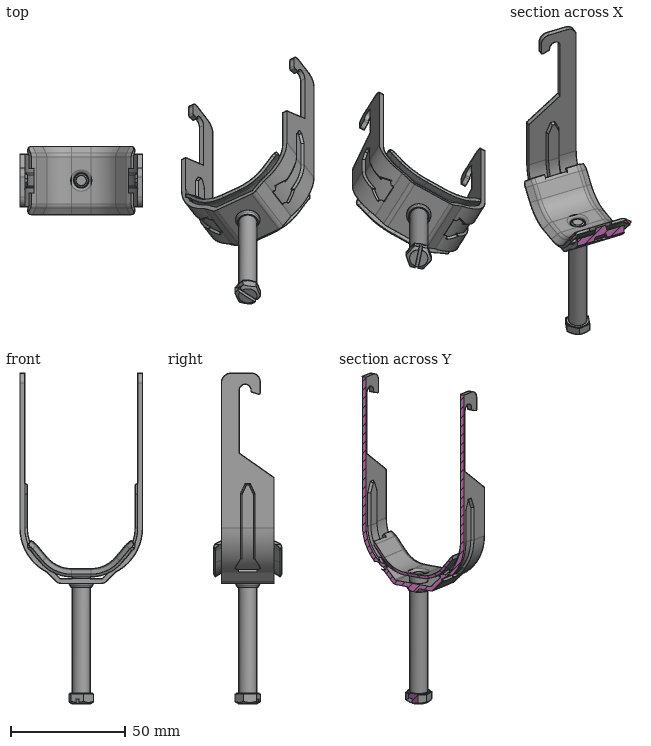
import cadquery as cq
import math

TOTAL_HEIGHT = 144.6

STRAP_SPAN = 53.6
STRAP_HALF_SPAN = STRAP_SPAN / 2
STRAP_HALF_WIDTH = 11.5
STRAP_THICKNESS = 2.2
SHOULDER_RADIUS = 21.7
SHOULDER_Z = 76.9
FLOOR_Z = 52.6
FLOOR_HALF_LENGTH = 10.1
RAMP_ANGLE = math.radians(45)
FLOOR_BEND_RADIUS = 0.9

HOOK_TIP_Y = 5.5
HOOK_TIP_Z = 135.0
HOOK_LIP_Z = 136.4
SLOT_DIAMETER = 5.0
SLOT_Y = -1.2
SLOT_TOP_Z = 139.7
HOOK_BACK_RADIUS = 4.3
HOOK_FRONT_RADIUS = 3.9
HOOK_TIP_RADIUS = 0.7
NECK_Z = 109.6
SLOPE_FOOT_Z = 98.9

RIB_HALF_WIDTH = 3.2
RIB_DEPTH = 1.2
RIB_WALL_SPREAD = 0.7
RIB_TOP_Z = 96.5
RIB_SHOULDER_Z = 91.8
RIB_TIP_HALF_WIDTH = 1.0
RIB_SWEEP = 62.0
RIB_FOOT_TOP_Z = 63.3
RIB_FOOT_WIDEST_Z = 59.3
RIB_FOOT_HALF_WIDTH = 5.6
RIB_FOOT_END_HALF_WIDTH = 4.0
RIB_FOOT_END_Z = 58.4

SHANK_DIAMETER = 8.0
HEX_ACROSS_FLATS = 10.0
HEX_TURN = 40.4
HEX_CORNER_TO_FLAT = 30.0
HEAD_HEIGHT = 4.3
WASHER_FACE_HEIGHT = 0.5
HEAD_END_DIAMETER = 8.0
HEAD_CHAMFER_HEIGHT = 1.2
DRIVE_SLOT_WIDTH = 1.5
DRIVE_SLOT_DEPTH = 2.2
TIP_DIAMETER = 6.0
TIP_END_DIAMETER = 4.5
TIP_HEIGHT = 0.7

COLLAR_TOP_DIAMETER = 10.7
COLLAR_MID_DIAMETER = 10.0
COLLAR_END_DIAMETER = 9.0
COLLAR_MID_DEPTH = 0.9
COLLAR_DEPTH = 1.7

SADDLE_TOP_Z = 59.1
SADDLE_THICKNESS = 1.5
SADDLE_WIDTH = 30.0
SADDLE_HALF_WIDTH = SADDLE_WIDTH / 2
SADDLE_FLAT_HALF_LENGTH = 4.2
SADDLE_RADIUS = 14.2
SADDLE_ANGLE = math.radians(50)
SADDLE_CREST_X = 19.5
SADDLE_END_X = 21.8
SADDLE_END_ANGLE = math.radians(40)
SADDLE_HALF_LENGTH = 23.4
SADDLE_BED_HALF_WIDTH = 10.3
FLANGE_ANGLE = math.radians(33)
FLANGE_BEND_RADIUS = 3.2
SADDLE_CORNER_RADIUS = 1.7
NOTCH_HALF_WIDTH = 5.4
NOTCH_FLOOR_X = 20.7
SADDLE_HOLE_DIAMETER = 6.7
SADDLE_HOLE_ROUNDING = 1.3


def cone_frustum(bottom_diameter, top_diameter, bottom_z, height):
    return cq.Workplane("XY").add(
        cq.Solid.makeCone(bottom_diameter / 2, top_diameter / 2, height, cq.Vector(0, 0, bottom_z))
    )


def both_sides(body):
    return body.union(body.mirror("YZ"))


SHOULDER_X = STRAP_HALF_SPAN - SHOULDER_RADIUS


def strap_envelope(inset):
    """Solid bounded by the strap's outer surface moved inward by inset."""
    radius = SHOULDER_RADIUS - inset
    floor_z = FLOOR_Z + inset
    corner_x = FLOOR_HALF_LENGTH - inset * math.tan(RAMP_ANGLE / 2)
    ramp_distance = (
        (corner_x - SHOULDER_X) * math.sin(RAMP_ANGLE) + (SHOULDER_Z - floor_z) * math.cos(RAMP_ANGLE)
    )
    meet = math.pi / 2 - RAMP_ANGLE + math.acos(ramp_distance / radius)

    def on_shoulder(angle):
        return SHOULDER_X + radius * math.cos(angle), SHOULDER_Z - radius * math.sin(angle)

    half = (
        cq.Workplane("XZ")
        .moveTo(0, TOTAL_HEIGHT)
        .lineTo(STRAP_HALF_SPAN - inset, TOTAL_HEIGHT)
        .lineTo(STRAP_HALF_SPAN - inset, SHOULDER_Z)
        .threePointArc(on_shoulder(meet / 2), on_shoulder(meet))
        .lineTo(corner_x, floor_z)
        .lineTo(0, floor_z)
        .close()
        .extrude(STRAP_HALF_WIDTH, both=True)
    )
    bend_radius = FLOOR_BEND_RADIUS + STRAP_THICKNESS - inset
    half = half.edges(cq.selectors.NearestToPointSelector((corner_x, 0, floor_z))).fillet(bend_radius)
    return both_sides(half)


def arm_outline():
    """Side outline of the strap, hook included, extruded across both arms."""
    slot_radius = SLOT_DIAMETER / 2
    slot_z = SLOT_TOP_Z - slot_radius
    stem_y = SLOT_Y - slot_radius
    lip_y = SLOT_Y + slot_radius
    outline = (
        cq.Workplane("YZ")
        .moveTo(-STRAP_HALF_WIDTH, 0)
        .lineTo(STRAP_HALF_WIDTH, 0)
        .lineTo(STRAP_HALF_WIDTH, SLOPE_FOOT_Z)
        .lineTo(stem_y, NECK_Z)
        .lineTo(stem_y, slot_z)
        .threePointArc((SLOT_Y, SLOT_TOP_Z), (lip_y, slot_z))
        .lineTo(lip_y, HOOK_LIP_Z)
        .lineTo(HOOK_TIP_Y, HOOK_TIP_Z)
        .lineTo(HOOK_TIP_Y, TOTAL_HEIGHT)
        .lineTo(-STRAP_HALF_WIDTH, TOTAL_HEIGHT)
        .close()
        .extrude(STRAP_HALF_SPAN, both=True)
    )
    rounded_corners = (
        (-STRAP_HALF_WIDTH, TOTAL_HEIGHT, HOOK_BACK_RADIUS),
        (HOOK_TIP_Y, TOTAL_HEIGHT, HOOK_FRONT_RADIUS),
        (HOOK_TIP_Y, HOOK_TIP_Z, HOOK_TIP_RADIUS),
        (lip_y, HOOK_LIP_Z, HOOK_TIP_RADIUS),
    )
    for y, z, radius in rounded_corners:
        outline = outline.edges(cq.selectors.NearestToPointSelector((0, y, z))).fillet(radius)
    return outline


def rib(inset):
    """Tapered rib that rises inward from the +X arm's surface moved inward by inset."""
    base_x = STRAP_HALF_SPAN - inset
    taper = math.degrees(math.atan(RIB_WALL_SPREAD / RIB_DEPTH))
    straight = (
        cq.Workplane("YZ", origin=(base_x, 0, 0))
        .polyline(
            [
                (-RIB_HALF_WIDTH, SHOULDER_Z - 2 * RIB_DEPTH),
                (RIB_HALF_WIDTH, SHOULDER_Z - 2 * RIB_DEPTH),
                (RIB_HALF_WIDTH, RIB_SHOULDER_Z),
                (RIB_TIP_HALF_WIDTH, RIB_TOP_Z),
                (-RIB_TIP_HALF_WIDTH, RIB_TOP_Z),
                (-RIB_HALF_WIDTH, RIB_SHOULDER_Z),
            ]
        )
        .close()
        .extrude(-RIB_DEPTH, taper=taper)
    )
    above_shoulder = cq.Workplane("XY", origin=(0, 0, SHOULDER_Z)).rect(
        2 * STRAP_HALF_SPAN, 2 * STRAP_HALF_WIDTH
    ).extrude(RIB_TOP_Z - SHOULDER_Z)
    inner_x = base_x - RIB_DEPTH
    inner_half_width = RIB_HALF_WIDTH - RIB_WALL_SPREAD
    curved = (
        cq.Workplane("XY", origin=(0, 0, SHOULDER_Z))
        .polyline(
            [
                (base_x, -RIB_HALF_WIDTH),
                (base_x, RIB_HALF_WIDTH),
                (inner_x, inner_half_width),
                (inner_x, -inner_half_width),
            ]
        )
        .close()
        .revolve(RIB_SWEEP, (SHOULDER_X, 0, 0), (SHOULDER_X, 1, 0))
    )
    return straight.intersect(above_shoulder).union(curved).union(rib_foot(inset))


def rib_foot(inset):
    """Wider lower end of the rib, ending in a wall square to the shoulder curve."""
    outer_x = STRAP_HALF_SPAN - inset
    shoulder_band = (
        cq.Workplane("XY", origin=(0, 0, SHOULDER_Z))
        .moveTo(outer_x, -RIB_FOOT_HALF_WIDTH)
        .lineTo(outer_x, RIB_FOOT_HALF_WIDTH)
        .lineTo(outer_x - RIB_DEPTH, RIB_FOOT_HALF_WIDTH)
        .lineTo(outer_x - RIB_DEPTH, -RIB_FOOT_HALF_WIDTH)
        .close()
        .revolve(RIB_SWEEP, (SHOULDER_X, 0, 0), (SHOULDER_X, 1, 0))
    )
    flare = (
        cq.Workplane("YZ")
        .polyline(
            [
                (-RIB_HALF_WIDTH, RIB_FOOT_TOP_Z),
                (RIB_HALF_WIDTH, RIB_FOOT_TOP_Z),
                (RIB_FOOT_HALF_WIDTH, RIB_FOOT_WIDEST_Z),
                (RIB_FOOT_END_HALF_WIDTH, RIB_FOOT_END_Z),
                (RIB_FOOT_END_HALF_WIDTH, FLOOR_Z),
                (-RIB_FOOT_END_HALF_WIDTH, FLOOR_Z),
                (-RIB_FOOT_END_HALF_WIDTH, RIB_FOOT_END_Z),
                (-RIB_FOOT_HALF_WIDTH, RIB_FOOT_WIDEST_Z),
            ]
        )
        .close()
        .extrude(STRAP_HALF_SPAN)
    )
    return shoulder_band.intersect(flare)


def make_collar():
    lower = cone_frustum(
        COLLAR_END_DIAMETER, COLLAR_MID_DIAMETER, FLOOR_Z - COLLAR_DEPTH, COLLAR_DEPTH - COLLAR_MID_DEPTH
    )
    upper = cone_frustum(
        COLLAR_MID_DIAMETER, COLLAR_TOP_DIAMETER, FLOOR_Z - COLLAR_MID_DEPTH, COLLAR_MID_DEPTH
    )
    return lower.union(upper)


def make_strap():
    sheet = strap_envelope(0).cut(strap_envelope(STRAP_THICKNESS)).intersect(arm_outline())
    sheet = sheet.union(both_sides(rib(STRAP_THICKNESS))).cut(both_sides(rib(0)))
    bolt_hole = cq.Workplane("XY").circle(SHANK_DIAMETER / 2).extrude(SADDLE_TOP_Z)
    return sheet.union(make_collar()).cut(bolt_hole)


def saddle_section(plane):
    """Bed with a flange turned down along each side; local x is across, local y is up."""

    def half_points(depth):
        bend_radius = FLANGE_BEND_RADIUS - depth
        bend_centre_y = -FLANGE_BEND_RADIUS
        edge_length = (
            SADDLE_HALF_WIDTH - SADDLE_BED_HALF_WIDTH - FLANGE_BEND_RADIUS * math.sin(FLANGE_ANGLE)
        ) / math.cos(FLANGE_ANGLE)
        around = [
            (
                SADDLE_BED_HALF_WIDTH + bend_radius * math.sin(angle),
                bend_centre_y + bend_radius * math.cos(angle),
            )
            for angle in (0, FLANGE_ANGLE / 2, FLANGE_ANGLE)
        ]
        flange_end = (
            around[-1][0] + edge_length * math.cos(FLANGE_ANGLE),
            around[-1][1] - edge_length * math.sin(FLANGE_ANGLE),
        )
        return around + [flange_end]

    def mirrored(point):
        return -point[0], point[1]

    top_start, top_mid, top_end, top_edge = half_points(0)
    low_start, low_mid, low_end, low_edge = half_points(SADDLE_THICKNESS)
    return (
        cq.Workplane(plane)
        .moveTo(*mirrored(top_start))
        .lineTo(*top_start)
        .threePointArc(top_mid, top_end)
        .lineTo(*top_edge)
        .lineTo(*low_edge)
        .lineTo(*low_end)
        .threePointArc(low_mid, low_start)
        .lineTo(*mirrored(low_start))
        .threePointArc(mirrored(low_mid), mirrored(low_end))
        .lineTo(*mirrored(low_edge))
        .lineTo(*mirrored(top_edge))
        .lineTo(*mirrored(top_end))
        .threePointArc(mirrored(top_mid), mirrored(top_start))
        .close()
    )


def saddle_hole():
    """Round hole whose upper rim flares out in a quarter round."""
    radius = SADDLE_HOLE_DIAMETER / 2
    round_radius = SADDLE_HOLE_ROUNDING
    rim_bottom_z = SADDLE_TOP_Z - round_radius
    on_round = (
        radius + round_radius * (1 - math.cos(math.pi / 4)),
        rim_bottom_z + round_radius * math.sin(math.pi / 4),
    )
    return (
        cq.Workplane("XZ")
        .moveTo(0, SADDLE_TOP_Z - SADDLE_THICKNESS)
        .lineTo(radius, SADDLE_TOP_Z - SADDLE_THICKNESS)
        .lineTo(radius, rim_bottom_z)
        .threePointArc(on_round, (radius + round_radius, SADDLE_TOP_Z))
        .lineTo(0, SADDLE_TOP_Z)
        .close()
        .revolve(360, (0, 0, 0), (0, 1, 0))
    )


def make_saddle():
    def on_bend(angle):
        return (
            SADDLE_FLAT_HALF_LENGTH + SADDLE_RADIUS * math.sin(angle),
            SADDLE_TOP_Z + SADDLE_RADIUS * (1 - math.cos(angle)),
        )

    bend_end = on_bend(SADDLE_ANGLE)
    crest = (
        SADDLE_CREST_X,
        bend_end[1] + (SADDLE_CREST_X - bend_end[0]) * math.tan(SADDLE_ANGLE),
    )
    tip = (SADDLE_END_X, crest[1] + (SADDLE_END_X - SADDLE_CREST_X) * math.tan(SADDLE_END_ANGLE))
    path = (
        cq.Workplane("XZ")
        .moveTo(0, SADDLE_TOP_Z)
        .lineTo(SADDLE_FLAT_HALF_LENGTH, SADDLE_TOP_Z)
        .threePointArc(on_bend(SADDLE_ANGLE / 2), bend_end)
        .lineTo(*crest)
        .lineTo(*tip)
    )
    start = cq.Plane(origin=(0, 0, SADDLE_TOP_Z), xDir=(0, 1, 0), normal=(1, 0, 0))
    half = saddle_section(start).sweep(path, transition="right")
    notch = cq.Workplane("XY").box(
        STRAP_HALF_SPAN, 2 * NOTCH_HALF_WIDTH, TOTAL_HEIGHT, centered=(False, True, False)
    ).translate((NOTCH_FLOOR_X, 0, 0))
    saddle = both_sides(half.cut(notch))
    plan = (
        cq.Workplane("XY")
        .rect(2 * SADDLE_HALF_LENGTH, 2 * SADDLE_HALF_WIDTH)
        .extrude(TOTAL_HEIGHT)
        .edges("|Z")
        .fillet(SADDLE_CORNER_RADIUS)
    )
    return saddle.intersect(plan).cut(saddle_hole())


def make_bolt():
    corner_diameter = HEX_ACROSS_FLATS / math.cos(math.pi / 6)
    shoulder_z = SADDLE_TOP_Z - SADDLE_THICKNESS
    hexagon = (
        cq.Workplane("XY")
        .polygon(6, corner_diameter)
        .extrude(HEAD_HEIGHT)
        .rotate((0, 0, 0), (0, 0, 1), HEX_TURN)
    )
    chamfer_limit = cone_frustum(HEAD_END_DIAMETER, corner_diameter, 0, HEAD_CHAMFER_HEIGHT).union(
        cq.Workplane("XY", origin=(0, 0, HEAD_CHAMFER_HEIGHT)).circle(corner_diameter / 2).extrude(HEAD_HEIGHT)
    )
    drive_slot = (
        cq.Workplane("XY")
        .rect(2 * corner_diameter, DRIVE_SLOT_WIDTH)
        .extrude(DRIVE_SLOT_DEPTH)
        .rotate((0, 0, 0), (0, 0, 1), HEX_TURN + HEX_CORNER_TO_FLAT)
    )
    head_top = cq.Workplane("XY", origin=(0, 0, HEAD_HEIGHT))
    washer_face = head_top.circle(HEX_ACROSS_FLATS / 2).extrude(WASHER_FACE_HEIGHT)
    shank = head_top.circle(SHANK_DIAMETER / 2).extrude(shoulder_z - HEAD_HEIGHT)
    tip = cone_frustum(TIP_DIAMETER, TIP_END_DIAMETER, shoulder_z, TIP_HEIGHT)
    head = hexagon.intersect(chamfer_limit).cut(drive_slot)
    return head.union(washer_face).union(shank).union(tip)


strap = make_strap()
saddle = make_saddle()
bolt = make_bolt()

result = cq.Compound.makeCompound([body.solids().val() for body in (strap, saddle, bolt)])